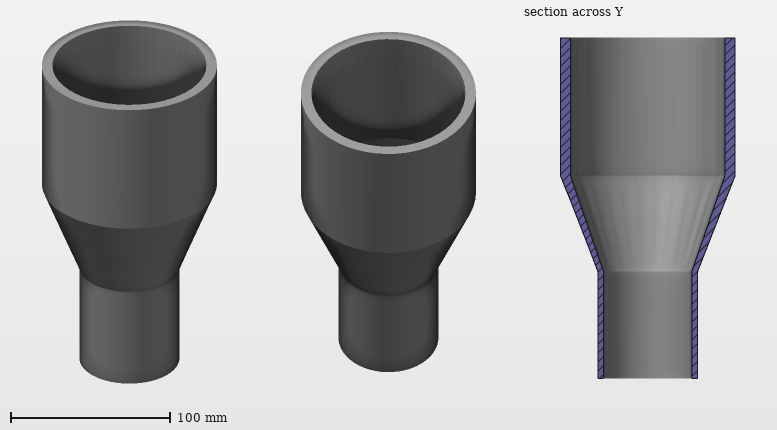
import cadquery as cq

total_height = 214.0
wide_diameter = 110.0
narrow_diameter = 63.0
wide_wall = 6.6
narrow_wall = 3.9
narrow_length = 67.2
cone_length = 60.1

cone_top = narrow_length + cone_length


def stepped_cone(wide_radius, narrow_radius):
    """Solid of revolution: narrow cylinder, cone, then wide cylinder."""
    half_profile = [
        (0, 0),
        (narrow_radius, 0),
        (narrow_radius, narrow_length),
        (wide_radius, cone_top),
        (wide_radius, total_height),
        (0, total_height),
    ]
    return cq.Workplane("XZ").polyline(half_profile).close().revolve(360, (0, 0), (0, 1))


wide_radius = wide_diameter / 2
narrow_radius = narrow_diameter / 2

body = stepped_cone(wide_radius, narrow_radius)
bore = stepped_cone(wide_radius - wide_wall, narrow_radius - narrow_wall)

result = body.cut(bore)